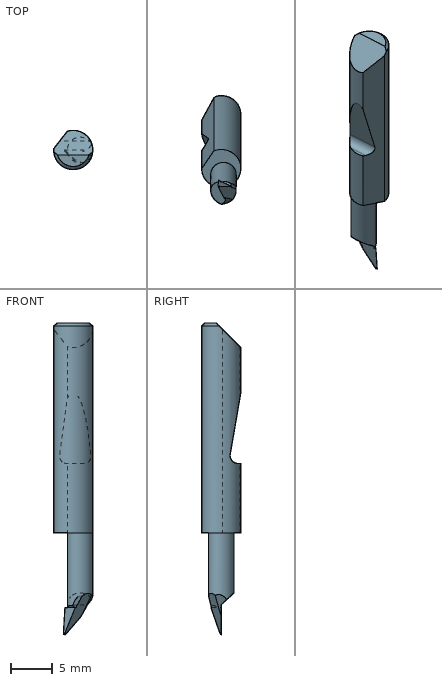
import cadquery as cq
import math

total_length = 37.75
shank_radius = 2.38
shank_bottom = 12.35
shank_chamfer = 0.38
neck_radius = 1.55
neck_offset = shank_radius - neck_radius

flat_distance = 1.95
flat_direction = math.radians(142)
end_slope_start_y = -0.6
notch_bottom = 20.75
notch_top = 29.3
notch_floor_y = 0.9
notch_radius = 0.95

nose = (-1.0, 0.0)
tooth_corner = (-1.2, 0.1)
tooth_top = (-1.02, 3.32)
heel = (0.95, 2.23)
heel_top = (shank_radius, 4.85)

side_clearance = 1.0
end_clearance = 1.52
heel_clearance = 0.4
runout_bottom = 3.65
runout_top = 5.1
relief_rise = 0.8
back_relief_lower = (-1.3, 3.65)
back_relief_upper = (-1.55, 4.7)

cutter_size = 3 * total_length


def half_space(point, normal):
    """A large block with one face at point, filling the side the normal points to."""
    plane = cq.Plane(origin=point, normal=normal)
    return cq.Workplane(plane).rect(cutter_size, cutter_size).extrude(cutter_size)


def half_space_below(start, end, clearance):
    """Space below an edge on the cutting face, with the surface rising towards -Y."""
    slope = (end[1] - start[1]) / (end[0] - start[0])
    return half_space((start[0], 0, start[1]), (slope, -clearance, -1))


def make_shank():
    shank = cq.Workplane("XY").workplane(offset=shank_bottom)
    shank = shank.circle(shank_radius).extrude(total_length - shank_bottom)
    shank = shank.faces(">Z").chamfer(shank_chamfer)

    flat_normal = (math.cos(flat_direction), math.sin(flat_direction), 0)
    flat_point = tuple(flat_distance * part for part in flat_normal)
    shank = shank.cut(half_space(flat_point, flat_normal))

    shank = shank.cut(half_space((0, end_slope_start_y, total_length), (0, 1, 1)))

    ramp = (notch_top - notch_bottom) / (shank_radius - notch_floor_y)
    outer_y = 2 * shank_radius
    outer_z = notch_bottom + ramp * (outer_y - notch_floor_y)
    notch = (
        cq.Workplane("YZ")
        .polyline([(notch_floor_y, notch_bottom), (outer_y, notch_bottom), (outer_y, outer_z)])
        .close()
        .extrude(shank_radius, both=True)
        .edges("<Y")
        .fillet(notch_radius)
    )
    return shank.cut(notch)


def side_space():
    """Space beyond the side clearance face of the tooth."""
    lean = (tooth_top[0] - tooth_corner[0]) / (tooth_top[1] - tooth_corner[1])
    return half_space((tooth_top[0], 0, tooth_top[1]), (-1, -side_clearance, lean))


def make_neck():
    neck = cq.Workplane("XY").center(neck_offset, 0).circle(neck_radius).extrude(shank_bottom)

    above_tooth = half_space(
        (tooth_top[0], 0, tooth_top[1]),
        (relief_rise, relief_rise * side_clearance, 1),
    )
    neck = neck.cut(side_space().cut(above_tooth))

    rise = back_relief_upper[1] - back_relief_lower[1]
    depth = back_relief_lower[0] - back_relief_upper[0]
    return neck.cut(half_space((0, *back_relief_lower), (0, -rise, -depth)))


def make_tooth():
    """Wedge behind the cutting face that overhangs the neck."""
    tooth = (
        cq.Workplane("XZ")
        .moveTo(tooth_corner[0], 0)
        .lineTo(neck_offset, 0)
        .lineTo(neck_offset, tooth_top[1])
        .lineTo(tooth_corner[0], tooth_top[1])
        .close()
        .extrude(-back_relief_lower[0])
    )
    return tooth.cut(side_space())


def shape_tip(body):
    chip_space = (
        cq.Workplane("YZ")
        .polyline([(0, 0), (neck_radius, 0), (neck_radius, runout_top), (0, runout_bottom)])
        .close()
        .extrude(shank_radius, both=True)
    )
    body = body.cut(chip_space)

    for start, end, clearance in (
        (tooth_corner, nose, end_clearance),
        (nose, heel, end_clearance),
        (heel, heel_top, heel_clearance),
    ):
        body = body.cut(half_space_below(start, end, clearance))
    return body


result = make_shank().union(shape_tip(make_neck().union(make_tooth())))